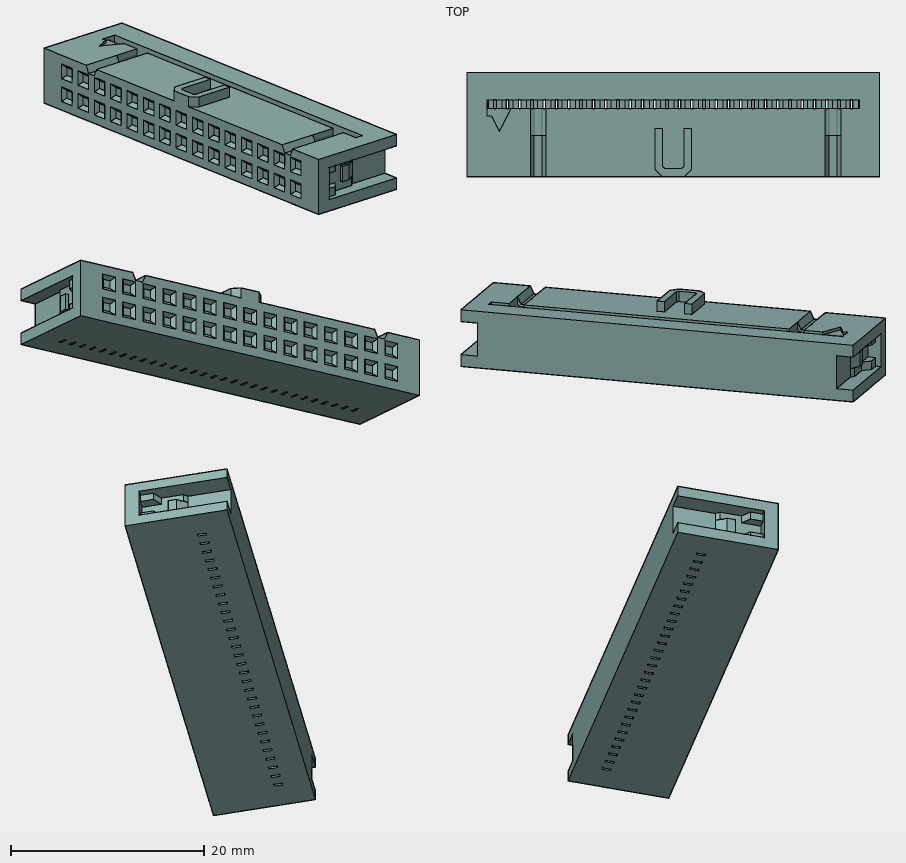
import cadquery as cq


length = 42.7
depth = 10.8
total_height = 7.2
body_height = 6.1
mid_height = body_height / 2

columns = 15
pitch = 2.54
row_heights = [mid_height - pitch / 2, mid_height + pitch / 2]

socket_mouth = 1.62
socket_floor = 0.85
socket_depth = 0.4

slot_length = 38.5
slot_front = 7.05
slot_width = 0.9
slot_floor = 1.32
blade_row_length = 38.25
blade_width = 1.4
blade_thickness = 0.43
slit_width = 0.235
slit_pitch = pitch / 2
slit_count = 2 * columns

mark_depth = 0.3
mark_tip_x = -17.98
mark_tip_y = 4.7
mark_half_width = 1.2
mark_step_y = 6.28

groove_columns = [-5.5, 6.5]
groove_top_width = 1.62
groove_front_floor = 0.85
groove_front_depth = 0.8
groove_rear_depth = 1.05
groove_rear_fillet = 0.4
groove_break = 4.25

key_width = 3.8
key_reach = 5.0
key_inner_width = 2.18
key_web = 0.85
key_chamfer = 0.75
key_inner_chamfer = 0.2

channel_height = 3.55
channel_front = 1.5
channel_depth = 1.8
ridge_height = 1.7
step_depth = 1.45
ridge_depth = 1.1
step_start = 6.28
step_end = 5.85
ridge_end = 5.2
ridge_front = 4.3
block_depth = 0.6
block_start = 3.55
block_end = 2.85


def box(x_min, x_max, y_min, y_max, z_min, z_max):
    """Box given by its limits along each axis."""
    size = (x_max - x_min, y_max - y_min, z_max - z_min)
    return cq.Workplane("XY").box(*size, centered=False).translate((x_min, y_min, z_min))


def polarizing_key():
    outer = key_width / 2
    inner = key_inner_width / 2
    right_half = [
        (outer - key_chamfer, 0),
        (outer, key_chamfer),
        (outer, key_reach),
        (inner, key_reach),
        (inner, key_web + key_inner_chamfer),
        (inner - key_inner_chamfer, key_web),
    ]
    left_half = [(-x, y) for x, y in reversed(right_half)]
    key = cq.Workplane("XY").workplane(offset=mid_height).polyline(right_half + left_half).close()
    return key.extrude(total_height - mid_height)


def sockets():
    """All socket pockets, cut inward from the mating face."""
    socket = (
        cq.Workplane("XZ")
        .rect(socket_mouth, socket_mouth)
        .workplane(offset=-socket_depth)
        .rect(socket_floor, socket_floor)
        .loft(ruled=True)
    )
    pockets = cq.Workplane("XZ")
    for i in range(columns):
        x = (i - (columns - 1) / 2) * pitch
        for z in row_heights:
            pockets = pockets.add(socket.translate((x, 0, z)))
    return pockets.combine()


def groove(center):
    """Top groove: a sloped front stretch and a deeper, straight-walled rear stretch
    with rounded bottom corners.
    """
    top = groove_top_width / 2
    floor = groove_front_floor / 2
    front_floor = body_height - groove_front_depth
    front_outline = [
        (-top, body_height),
        (-floor, front_floor),
        (floor, front_floor),
        (top, body_height),
    ]
    front = cq.Workplane("XZ").polyline(front_outline).close().extrude(-groove_break)

    rear_floor = body_height - groove_rear_depth
    rear = box(-top, top, groove_break, slot_front, rear_floor, body_height)
    rear = rear.edges("|Y and <Z").fillet(groove_rear_fillet)
    return front.union(rear).translate((center, 0, 0))


def pin_one_mark():
    slope = (slot_front - mark_tip_y) / mark_half_width
    step_x = mark_tip_x - (mark_step_y - mark_tip_y) / slope
    outline = [
        (-slot_length / 2, slot_front),
        (-slot_length / 2, mark_step_y),
        (step_x, mark_step_y),
        (mark_tip_x, mark_tip_y),
        (mark_tip_x + mark_half_width, slot_front),
    ]
    mark = cq.Workplane("XY").workplane(offset=body_height - mark_depth).polyline(outline).close()
    return mark.extrude(mark_depth)


def contact_blades():
    """Lower row as one comb, upper row as separate forks around every other slit."""
    slot_back = slot_front + slot_width
    half_row = blade_row_length / 2
    half_thickness = blade_thickness / 2
    lower_z, upper_z = row_heights
    blades = box(-half_row, half_row, slot_front, slot_back, slot_floor, lower_z + half_thickness)
    first_slit = -(slit_count - 1) / 2 * slit_pitch
    for i in range(columns):
        x = first_slit + i * pitch
        fork = box(
            x - blade_width / 2,
            x + blade_width / 2,
            slot_front,
            slot_back,
            upper_z - half_thickness,
            upper_z + half_thickness,
        )
        blades = blades.union(fork)
    return blades


def wire_slits():
    slit_y = slot_front + slot_width / 2
    slits = cq.Workplane("XY", origin=(0, slit_y, 0)).rarray(slit_pitch, 0.43, slit_count, 1)
    return slits.rect(slit_width, slot_width).extrude(body_height)


def end_recess():
    """Recess in the -X end: a layered cavity whose floor rises over ramps."""
    end = -length / 2

    def cavity(floor_points, height):
        outline = [(end, depth)]
        outline += [(end + inset, y) for inset, y in floor_points]
        outline += [(end, channel_front)]
        layer = cq.Workplane("XY").workplane(offset=mid_height - height / 2)
        return layer.polyline(outline).close().extrude(height)

    rear_floor = [(channel_depth, depth), (channel_depth, step_start)]
    side_floor = rear_floor + [
        (step_depth, step_end),
        (step_depth, block_start),
        (block_depth, block_end),
        (block_depth, channel_front),
    ]
    ridge_floor = rear_floor + [
        (ridge_depth, ridge_end),
        (ridge_depth, ridge_front),
        (step_depth, ridge_front),
        (step_depth, channel_front),
    ]
    middle = box(end, 0, 0, depth, mid_height - ridge_height / 2, mid_height + ridge_height / 2)
    sides = cavity(side_floor, channel_height).cut(middle)
    return sides.union(cavity(ridge_floor, ridge_height))


body = box(-length / 2, length / 2, 0, depth, 0, body_height)
body = body.union(polarizing_key())

cable_slot = box(
    -slot_length / 2, slot_length / 2, slot_front, slot_front + slot_width, slot_floor, body_height
)
body = body.cut(cable_slot).union(contact_blades()).cut(wire_slits())
body = body.cut(pin_one_mark())

for column in groove_columns:
    body = body.cut(groove(column * pitch))

body = body.cut(sockets())

left_recess = end_recess()
body = body.cut(left_recess).cut(left_recess.mirror("YZ"))

result = body